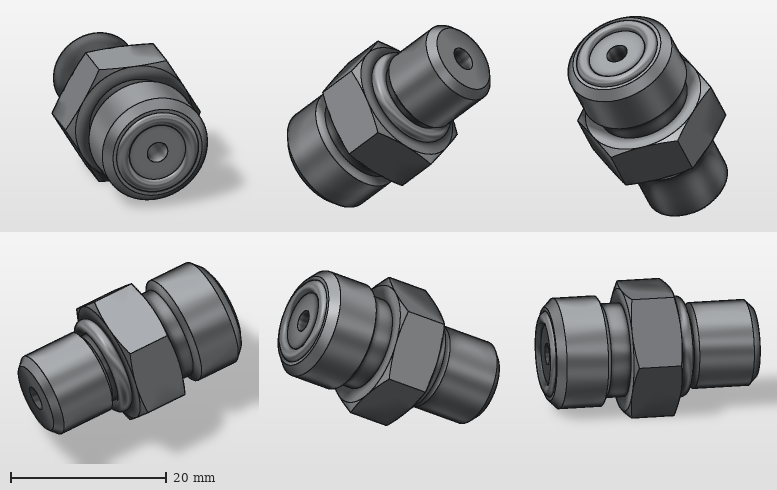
import cadquery as cq
import math


TOTAL_LENGTH = 27.7
STUD_THREAD_END = 8.2
HEX_START = 10.95
HEX_END = 17.4
OUTLET_START = 19.95
FACE_X = 27.15

STUD_R = 11.1 / 2
STUD_CHAMFER = 1.0
STUD_GROOVE_R = 9.3 / 2

NECK_R = 12.13 / 2
OUTLET_R = 14.3 / 2
OUTLET_CHAMFER = 1.1

RUNOUT_SLOPE = math.tan(math.radians(30))
STUD_RUNOUT = (STUD_R - STUD_GROOVE_R) * RUNOUT_SLOPE
OUTLET_RUNOUT = (OUTLET_R - NECK_R) * RUNOUT_SLOPE

HEX_FLATS = 15.87
HEX_FLAT_R = HEX_FLATS / 2
HEX_CORNER_R = HEX_FLAT_R / math.cos(math.radians(30))
HEX_CHAMFER_ANGLE = 20.0
HEX_CHAMFER_LENGTH = (HEX_CORNER_R - HEX_FLAT_R) * math.tan(math.radians(HEX_CHAMFER_ANGLE))

INLET_BORE_R = 3.18 / 2
THROUGH_BORE_R = 2.77 / 2
INLET_BORE_DEPTH = HEX_START

STUD_RING_SECTION = 1.83
STUD_RING_OD = 13.07
FACE_RING_SECTION = 1.77
FACE_RING_OD = 11.13

FACE_GROOVE_BOTTOM = TOTAL_LENGTH - FACE_RING_SECTION
FACE_GROOVE_OUTER_R = FACE_RING_OD / 2
FACE_GROOVE_INNER_R = FACE_GROOVE_OUTER_R - FACE_RING_SECTION


def revolve_about_x(points):
    """Turn a closed (x, radius) outline about the X axis."""
    return cq.Workplane("XY").polyline(points).close().revolve(360, (0, 0, 0), (1, 0, 0))


def cylinder(x_start, x_end, radius):
    return cq.Workplane("YZ", origin=(x_start, 0, 0)).circle(radius).extrude(x_end - x_start)


def turned_blank():
    """Stud, undercut, neck and outlet; the hexagon is added around it."""
    return revolve_about_x([
        (0, 0),
        (0, STUD_R - STUD_CHAMFER),
        (STUD_CHAMFER, STUD_R),
        (STUD_THREAD_END, STUD_R),
        (STUD_THREAD_END + STUD_RUNOUT, STUD_GROOVE_R),
        (HEX_START, STUD_GROOVE_R),
        (HEX_START, NECK_R),
        (OUTLET_START, NECK_R),
        (OUTLET_START + OUTLET_RUNOUT, OUTLET_R),
        (FACE_X - OUTLET_CHAMFER, OUTLET_R),
        (FACE_X, OUTLET_R - OUTLET_CHAMFER),
        (FACE_X, 0),
    ])


def hexagon():
    """Hexagonal prism whose corners are turned off conically at both ends."""
    prism = (
        cq.Workplane("YZ", origin=(HEX_START, 0, 0))
        .polygon(6, 2 * HEX_CORNER_R)
        .extrude(HEX_END - HEX_START)
    )
    corner_envelope = revolve_about_x([
        (HEX_START, 0),
        (HEX_START, HEX_FLAT_R),
        (HEX_START + HEX_CHAMFER_LENGTH, HEX_CORNER_R),
        (HEX_END - HEX_CHAMFER_LENGTH, HEX_CORNER_R),
        (HEX_END, HEX_FLAT_R),
        (HEX_END, 0),
    ])
    return prism.intersect(corner_envelope)


def face_groove():
    """Ring-shaped cut in the outlet face for the face-seal O-ring."""
    outer = cylinder(FACE_GROOVE_BOTTOM, FACE_X, FACE_GROOVE_OUTER_R)
    core = cylinder(FACE_GROOVE_BOTTOM, FACE_X, FACE_GROOVE_INNER_R)
    return outer.cut(core)


def make_housing():
    inlet_bore = cylinder(0, INLET_BORE_DEPTH, INLET_BORE_R)
    through_bore = cylinder(0, FACE_X, THROUGH_BORE_R)
    return turned_blank().union(hexagon()).cut(inlet_bore).cut(through_bore).cut(face_groove())


def make_o_ring(x_center, outer_diameter, section):
    """Round-section ring about the X axis, centred at x_center."""
    mean_radius = (outer_diameter - section) / 2
    return (
        cq.Workplane("XY")
        .center(x_center, mean_radius)
        .circle(section / 2)
        .revolve(360, (0, -mean_radius, 0), (1, -mean_radius, 0))
    )


housing = make_housing()

stud_ring = make_o_ring(HEX_START - STUD_RING_SECTION / 2, STUD_RING_OD, STUD_RING_SECTION)
face_ring = make_o_ring(FACE_GROOVE_BOTTOM + FACE_RING_SECTION / 2, FACE_RING_OD, FACE_RING_SECTION)

result = cq.Compound.makeCompound([housing.val(), stud_ring.val(), face_ring.val()])